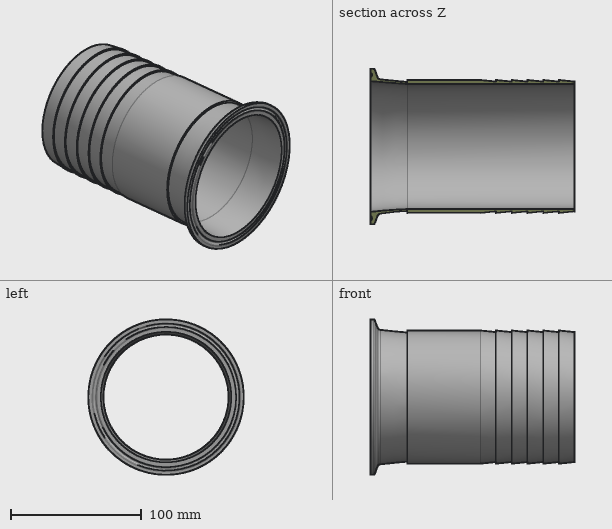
import cadquery as cq
import math

total_length = 156.0
flange_radius = 119.0 / 2
bore_radius = 95.5 / 2
body_radius = 102.0 / 2

back_face_angle = math.radians(20)
rim_width = 3.1
rim_fillet = 1.2
neck_fillet = 2.2

neck_end = 28.1
mouth_wall = 2.3
neck_end_wall = 1.7
mouth_radius = 49.9
neck_start_radius = mouth_radius + mouth_wall
neck_end_radius = bore_radius + neck_end_wall

barb_count = 6
barb_pitch = 12.0
barb_drop = 1.2
barb_start = total_length - barb_count * barb_pitch
barb_end_radius = body_radius - barb_drop

groove_outer_radius = 56.3
groove_inner_radius = 53.5
groove_depth = 1.1
groove_lip_fillet = 0.6


def flange_back_corner():
    """Return the point where the conical back face meets the tapered neck."""
    neck_slope = (neck_start_radius - neck_end_radius) / neck_end
    back_slope = 1 / math.tan(back_face_angle)
    rise = flange_radius + back_slope * rim_width - neck_start_radius
    x = rise / (back_slope - neck_slope)
    return x, neck_start_radius - neck_slope * x


def make_body():
    """Revolve the wall section, from the mouth around the outside to the bore."""
    section = (
        cq.Workplane("XY")
        .moveTo(0, mouth_radius)
        .lineTo(0, flange_radius)
        .lineTo(rim_width, flange_radius)
        .lineTo(*flange_back_corner())
        .lineTo(neck_end, neck_end_radius)
        .lineTo(neck_end, body_radius)
        .lineTo(barb_start, body_radius)
    )
    for barb in range(1, barb_count + 1):
        barb_end = barb_start + barb * barb_pitch
        section = section.lineTo(barb_end, barb_end_radius)
        if barb < barb_count:
            section = section.lineTo(barb_end, body_radius)
    section = section.lineTo(total_length, bore_radius).lineTo(neck_end, bore_radius).close()
    return section.revolve(360, (0, 0, 0), (1, 0, 0))


def circle_at(x, radius):
    """Return a test for a circular edge at the given X and radius."""
    tolerance = 0.002

    def matches(edge):
        if edge.geomType() != "CIRCLE":
            return False
        return abs(edge.Center().x - x) < tolerance and abs(edge.radius() - radius) < tolerance

    return matches


def round_circle(body, x, radius, fillet):
    """Fillet the circular edge at the given X and radius."""
    edges = body.edges().filter(circle_at(x, radius))
    return edges.fillet(fillet)


def make_groove():
    """Ring with an arc-shaped section sunk into the flange face."""
    middle_radius = (groove_inner_radius + groove_outer_radius) / 2
    return (
        cq.Workplane("XY")
        .moveTo(0, groove_inner_radius)
        .threePointArc((groove_depth, middle_radius), (0, groove_outer_radius))
        .close()
        .revolve(360, (0, 0, 0), (1, 0, 0))
    )


body = make_body()
body = round_circle(body, rim_width, flange_radius, rim_fillet)
body = round_circle(body, *flange_back_corner(), neck_fillet)
body = body.cut(make_groove())
for groove_radius in (groove_inner_radius, groove_outer_radius):
    body = round_circle(body, 0, groove_radius, groove_lip_fillet)
result = body